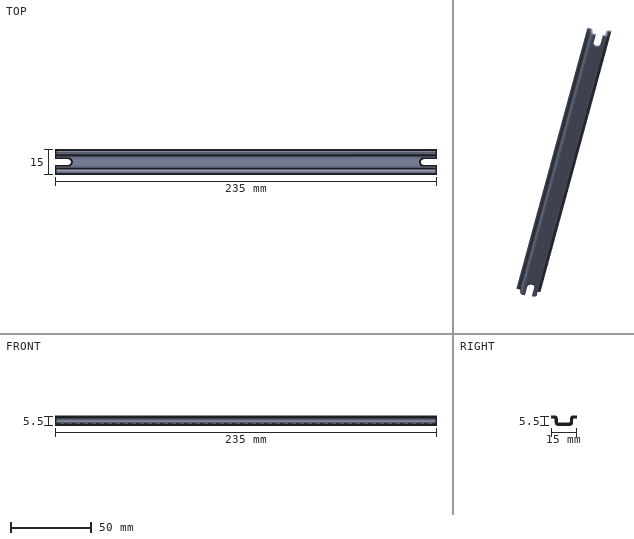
import cadquery as cq

length = 235.0
width = 15.0
height = 5.5

thickness = 1.0
inner_bend_radius = 0.8
outer_bend_radius = inner_bend_radius + thickness

channel_outer_width = 10.5
channel_inner_width = channel_outer_width - 2 * thickness

slot_width = 4.5
slot_depth = 10.0


def make_rail():
    """Bent-sheet section, centred on Y with its floor on Z = 0, extruded along X."""
    half_width = width / 2
    half_outer = channel_outer_width / 2
    half_inner = channel_inner_width / 2
    flange_underside = height - thickness

    section = (
        cq.Workplane("YZ")
        .workplane(offset=-length / 2)
        .moveTo(-half_width, height)
        .lineTo(-half_inner, height)
        .lineTo(-half_inner, thickness)
        .lineTo(half_inner, thickness)
        .lineTo(half_inner, height)
        .lineTo(half_width, height)
        .lineTo(half_width, flange_underside)
        .lineTo(half_outer, flange_underside)
        .lineTo(half_outer, 0)
        .lineTo(-half_outer, 0)
        .lineTo(-half_outer, flange_underside)
        .lineTo(-half_width, flange_underside)
        .close()
    )
    rail = section.extrude(length)

    outside_corners = [(half_inner, height), (half_outer, 0)]
    inside_corners = [(half_outer, flange_underside), (half_inner, thickness)]
    rail = round_bends(rail, outside_corners, outer_bend_radius)
    return round_bends(rail, inside_corners, inner_bend_radius)


def round_bends(rail, corners, radius):
    """Fillet the lengthwise edges at the given (Y, Z) corners and their mirror images."""
    edges = []
    for y, z in corners:
        for side in (-1, 1):
            edges += rail.edges(cq.NearestToPointSelector((0, side * y, z))).vals()
    return rail.newObject(edges).fillet(radius)


def make_end_slot(end):
    """Cutter for one slot: open at the rail end, with a semicircular inner end."""
    half_slot = slot_width / 2
    end_x = end * length / 2
    arc_start_x = end * (length / 2 - slot_depth + half_slot)
    tip_x = end * (length / 2 - slot_depth)
    return (
        cq.Workplane("XY")
        .moveTo(end_x, -half_slot)
        .lineTo(arc_start_x, -half_slot)
        .threePointArc((tip_x, 0), (arc_start_x, half_slot))
        .lineTo(end_x, half_slot)
        .close()
        .extrude(thickness)
    )


result = make_rail()
for end in (-1, 1):
    result = result.cut(make_end_slot(end))